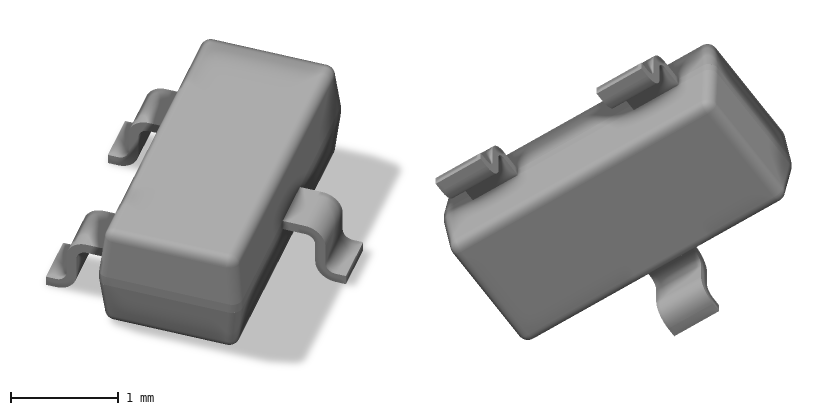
import cadquery as cq
import math


HOUSING_LENGTH = 3.04
HOUSING_WIDTH = 1.398
HOUSING_HEIGHT = 1.1
STANDOFF = 0.01
DRAFT_ANGLE = 6.0
EDGE_RADIUS = 0.1

LEAD_SPAN = 2.64
LEAD_THICKNESS = 0.1
LEAD_WIDTH = 0.502
LEAD_OFFSET = 0.9
FOOT_LENGTH = 0.1
INNER_BEND = 0.1

BAND_HEIGHT = LEAD_THICKNESS
OUTER_BEND = INNER_BEND + LEAD_THICKNESS
PARTING_HEIGHT = STANDOFF + HOUSING_HEIGHT / 2
BAND_TOP = PARTING_HEIGHT + BAND_HEIGHT / 2
DRAFTED_HEIGHT = (HOUSING_HEIGHT - BAND_HEIGHT) / 2


def make_housing():
    """Straight band between two mirrored drafted halves, all with rounded edges."""
    band = (
        cq.Workplane("XY", origin=(0, 0, PARTING_HEIGHT))
        .rect(HOUSING_WIDTH, HOUSING_LENGTH)
        .extrude(BAND_HEIGHT / 2, both=True)
        .edges("|Z")
        .fillet(EDGE_RADIUS)
    )
    upper_half = (
        cq.Workplane("XY", origin=(0, 0, BAND_TOP))
        .rect(HOUSING_WIDTH, HOUSING_LENGTH)
        .extrude(DRAFTED_HEIGHT, taper=DRAFT_ANGLE)
        .edges("not <Z")
        .fillet(EDGE_RADIUS)
    )
    lower_half = upper_half.mirror("XY", (0, 0, PARTING_HEIGHT))
    return band.union(upper_half).union(lower_half)


def make_lead(side, y_centre):
    """Gull-wing lead on the -X (side = -1) or +X (side = +1) wall of the housing."""
    tip = LEAD_SPAN / 2
    root = HOUSING_WIDTH / 2
    foot_bend_x = tip - FOOT_LENGTH
    web_outer = foot_bend_x - INNER_BEND
    web_inner = web_outer - LEAD_THICKNESS
    shoulder_bend_x = web_outer - OUTER_BEND
    shoulder_bend_z = BAND_TOP - OUTER_BEND

    def arc_middle(centre_x, centre_z, radius, x_sign, z_sign):
        """Point halfway round a quarter bend, in the quadrant given by the two signs."""
        return (
            side * (centre_x + x_sign * radius * math.cos(math.pi / 4)),
            centre_z + z_sign * radius * math.cos(math.pi / 4),
        )

    profile = (
        cq.Workplane("XZ", origin=(0, y_centre + LEAD_WIDTH / 2, 0))
        .moveTo(side * tip, 0)
        .lineTo(side * foot_bend_x, 0)
        .threePointArc(
            arc_middle(foot_bend_x, OUTER_BEND, OUTER_BEND, -1, -1), (side * web_inner, OUTER_BEND)
        )
        .lineTo(side * web_inner, shoulder_bend_z)
        .threePointArc(
            arc_middle(shoulder_bend_x, shoulder_bend_z, INNER_BEND, 1, 1),
            (side * shoulder_bend_x, BAND_TOP - LEAD_THICKNESS),
        )
        .lineTo(side * root, BAND_TOP - LEAD_THICKNESS)
        .lineTo(side * root, BAND_TOP)
        .lineTo(side * shoulder_bend_x, BAND_TOP)
        .threePointArc(
            arc_middle(shoulder_bend_x, shoulder_bend_z, OUTER_BEND, 1, 1),
            (side * web_outer, shoulder_bend_z),
        )
        .lineTo(side * web_outer, OUTER_BEND)
        .threePointArc(
            arc_middle(foot_bend_x, OUTER_BEND, INNER_BEND, -1, -1), (side * foot_bend_x, LEAD_THICKNESS)
        )
        .lineTo(side * tip, LEAD_THICKNESS)
        .close()
    )
    return profile.extrude(LEAD_WIDTH)


housing = make_housing()

LEAD_PLACES = [(-1, -LEAD_OFFSET), (-1, LEAD_OFFSET), (1, 0)]
leads = []
for lead_side, lead_y in LEAD_PLACES:
    leads.append(make_lead(lead_side, lead_y).val())

result = cq.Compound.makeCompound([housing.val(), *leads])